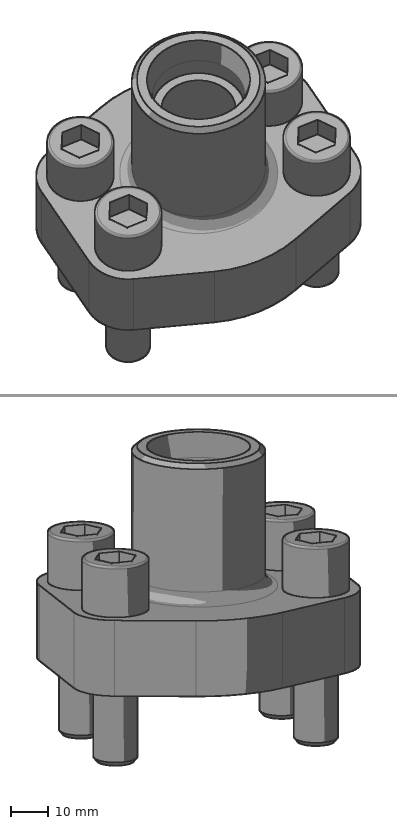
import cadquery as cq
import math

plate_bottom = 21.5
plate_thickness = 21.2
plate_length = 81.0
side_arc_diameter = 70.0
plate_top = plate_bottom + plate_thickness
side_arc_radius = side_arc_diameter / 2

screw_spacing_x = 27.8
screw_spacing_y = 57.2
shank_diameter = 12.0
shank_chamfer_width = 1.0
shank_chamfer_height = 1.2
head_diameter = 18.0
head_height = 14.3
head_edge_radius = 0.65
socket_across_flats = 10.0
socket_depth = 6.0

total_height = 81.5
neck_diameter = 36.0
neck_rim_diameter = 33.1
neck_chamfer_height = 1.2
neck_fillet_radius = 3.3
bore_diameter = 20.0
counterbore_diameter = 25.0
counterbore_depth = 12.0
cone_mouth_diameter = 27.8
cone_depth = 6.7

screw_x = screw_spacing_x / 2
screw_y = screw_spacing_y / 2
corner_radius = plate_length / 2 - screw_y


def make_plate():
    screw_distance = math.hypot(screw_x, screw_y)
    screw_angle = math.atan2(screw_y, screw_x)
    tangent_angle = screw_angle - math.acos((side_arc_radius - corner_radius) / screw_distance)
    middle_angle = (tangent_angle + math.pi / 2) / 2

    side_x = side_arc_radius * math.cos(tangent_angle)
    side_y = side_arc_radius * math.sin(tangent_angle)
    corner_x = screw_x + corner_radius * math.cos(tangent_angle)
    corner_y = screw_y + corner_radius * math.sin(tangent_angle)
    middle_x = screw_x + corner_radius * math.cos(middle_angle)
    middle_y = screw_y + corner_radius * math.sin(middle_angle)
    end_y = plate_length / 2

    return (
        cq.Workplane("XY", origin=(0, 0, plate_bottom))
        .moveTo(side_x, -side_y)
        .threePointArc((side_arc_radius, 0), (side_x, side_y))
        .lineTo(corner_x, corner_y)
        .threePointArc((middle_x, middle_y), (screw_x, end_y))
        .lineTo(-screw_x, end_y)
        .threePointArc((-middle_x, middle_y), (-corner_x, corner_y))
        .lineTo(-side_x, side_y)
        .threePointArc((-side_arc_radius, 0), (-side_x, -side_y))
        .lineTo(-corner_x, -corner_y)
        .threePointArc((-middle_x, -middle_y), (-screw_x, -end_y))
        .lineTo(screw_x, -end_y)
        .threePointArc((middle_x, -middle_y), (corner_x, -corner_y))
        .close()
        .extrude(plate_thickness)
    )


def make_neck():
    neck_radius = neck_diameter / 2
    flare_radius = neck_radius + neck_fillet_radius
    fillet_inset = neck_fillet_radius * (1 - math.sqrt(0.5))
    return (
        cq.Workplane("XZ")
        .moveTo(0, plate_bottom)
        .lineTo(flare_radius, plate_bottom)
        .lineTo(flare_radius, plate_top)
        .threePointArc(
            (neck_radius + fillet_inset, plate_top + fillet_inset),
            (neck_radius, plate_top + neck_fillet_radius),
        )
        .lineTo(neck_radius, total_height - neck_chamfer_height)
        .lineTo(neck_rim_diameter / 2, total_height)
        .lineTo(0, total_height)
        .close()
        .revolve(360, (0, 0, 0), (0, 1, 0))
    )


def make_bore():
    bore_radius = bore_diameter / 2
    counterbore_radius = counterbore_diameter / 2
    step_z = total_height - counterbore_depth
    return (
        cq.Workplane("XZ")
        .moveTo(0, plate_bottom)
        .lineTo(bore_radius, plate_bottom)
        .lineTo(bore_radius, step_z)
        .lineTo(counterbore_radius, step_z)
        .lineTo(counterbore_radius, total_height - cone_depth)
        .lineTo(cone_mouth_diameter / 2, total_height)
        .lineTo(0, total_height)
        .close()
        .revolve(360, (0, 0, 0), (0, 1, 0))
    )


def make_screw():
    shank = (
        cq.Workplane("XY")
        .circle(shank_diameter / 2)
        .extrude(plate_top)
        .faces("<Z")
        .chamfer(shank_chamfer_height, shank_chamfer_width)
    )
    head = (
        cq.Workplane("XY", origin=(0, 0, plate_top))
        .circle(head_diameter / 2)
        .extrude(head_height)
        .faces(">Z")
        .edges()
        .fillet(head_edge_radius)
    )
    socket_corner_diameter = socket_across_flats / math.cos(math.radians(30))
    socket = (
        cq.Workplane("XY", origin=(0, 0, plate_top + head_height - socket_depth))
        .transformed(rotate=(0, 0, 90))
        .polygon(6, socket_corner_diameter)
        .extrude(socket_depth)
    )
    return shank.union(head).cut(socket)


result = make_plate().union(make_neck()).cut(make_bore())
screw = make_screw()
for x in (-screw_x, screw_x):
    for y in (-screw_y, screw_y):
        result = result.union(screw.translate((x, y, 0)))